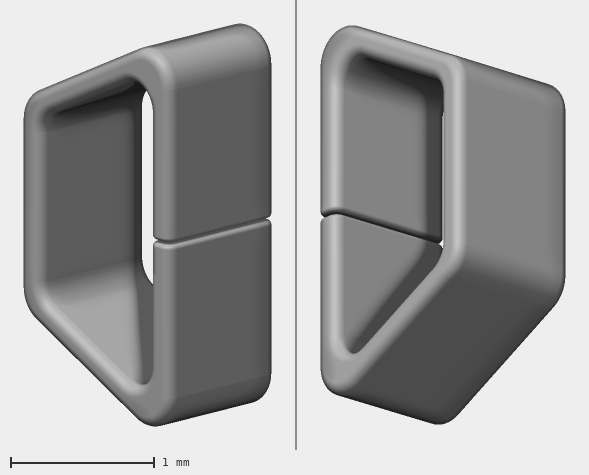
import cadquery as cq
import math

width = 1.52
depth = 1.02
height = 2.73

upright_wall = 0.207
sloped_wall = 0.19
slope = math.radians(26.5)

outer_corner_radius = 0.25
inner_corner_radius = 0.177
rim_radius = 0.076
end_radius = 0.03

slit_gap = 0.022

sharp_half_height = (
    height / 2
    - outer_corner_radius
    + outer_corner_radius / math.cos(slope)
    + outer_corner_radius * math.tan(slope)
)


def rounded_trapezoid(upright_inset, sloped_inset, corner_radius):
    """Full-depth trapezoidal prism, inset from the sharp outer outline."""
    x_right = width / 2 - upright_inset
    x_left = -x_right
    drop = sloped_inset / math.cos(slope)
    z_right = sharp_half_height - drop - upright_inset * math.tan(slope)
    z_left = z_right - (x_right - x_left) * math.tan(slope)
    return (
        cq.Workplane("XZ")
        .polyline([(x_left, -z_left), (x_right, -z_right), (x_right, z_right), (x_left, z_left)])
        .close()
        .extrude(depth / 2, both=True)
        .edges("|Y")
        .fillet(corner_radius)
    )


outer = rounded_trapezoid(0, 0, outer_corner_radius)
opening = rounded_trapezoid(upright_wall, sloped_wall, inner_corner_radius)
band = outer.cut(opening).faces("<Y or >Y").edges().fillet(rim_radius)

slit_center_x = (width - upright_wall) / 2
slit = cq.Workplane("XY").box(2 * upright_wall, 2 * depth, slit_gap).translate((slit_center_x, 0, 0))
split_band = band.cut(slit)

end_faces = cq.selectors.BoxSelector(
    (slit_center_x - upright_wall, -depth, -slit_gap),
    (slit_center_x + upright_wall, depth, slit_gap),
)
result = split_band.faces(end_faces).edges().fillet(end_radius)